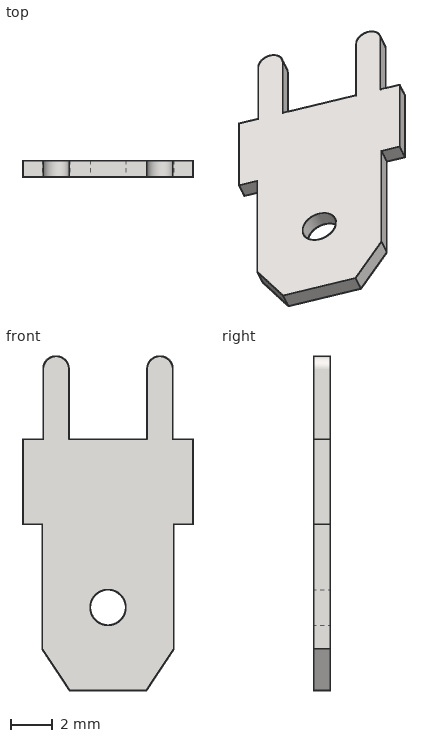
import cadquery as cq

thickness = 0.8

blade_width = 6.35
blade_length = 8.0
tip_width = 3.7
tip_taper_length = 2.0
hole_diameter = 1.7
hole_height = 4.0

shoulder_width = 8.2
shoulder_height = 4.1

pin_width = 1.25
pin_length = 4.0
pin_pitch = 5.0

shoulder_top = blade_length + shoulder_height


def plate(sketch):
    """Extrude an XZ outline through the sheet, from Y = 0 to Y = thickness."""
    return sketch.extrude(-thickness)


def make_blade():
    half_width = blade_width / 2
    half_tip = tip_width / 2
    outline = (
        cq.Workplane("XZ")
        .moveTo(-half_tip, 0)
        .lineTo(half_tip, 0)
        .lineTo(half_width, tip_taper_length)
        .lineTo(half_width, blade_length)
        .lineTo(-half_width, blade_length)
        .lineTo(-half_width, tip_taper_length)
        .close()
    )
    return plate(outline)


def make_shoulder():
    outline = (
        cq.Workplane("XZ")
        .center(0, blade_length + shoulder_height / 2)
        .rect(shoulder_width, shoulder_height)
    )
    return plate(outline)


def make_pin(center_x):
    """Straight pin with a full-round end."""
    radius = pin_width / 2
    straight_length = pin_length - radius
    outline = (
        cq.Workplane("XZ")
        .center(center_x, shoulder_top)
        .moveTo(-radius, 0)
        .lineTo(radius, 0)
        .lineTo(radius, straight_length)
        .threePointArc((0, pin_length), (-radius, straight_length))
        .close()
    )
    return plate(outline)


def make_hole():
    outline = cq.Workplane("XZ").center(0, hole_height).circle(hole_diameter / 2)
    return plate(outline)


result = make_blade().union(make_shoulder())
for side in (-1, 1):
    result = result.union(make_pin(side * pin_pitch / 2))
result = result.cut(make_hole())